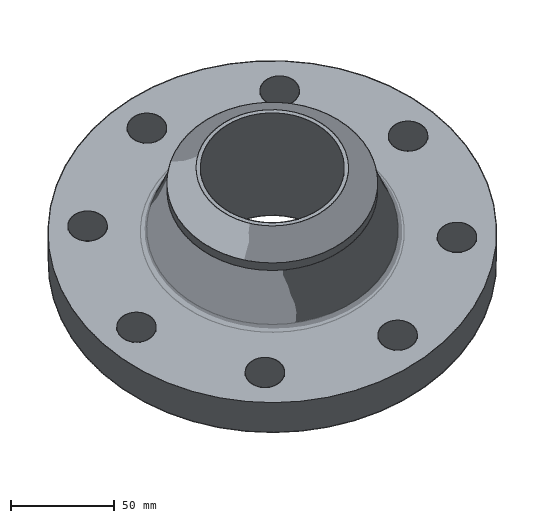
import cadquery as cq

flange_diameter = 215.8
flange_thickness = 22.2
raised_face_diameter = 154.1
raised_face_height = 6.5
total_height = 76.2

hub_base_diameter = 122.4
hub_neck_diameter = 101.5
neck_height = 5.6
hub_fillet = 3.2

bevel_height = 11.0
weld_end_diameter = 73.4
bore_diameter = 69.3

bolt_count = 8
bolt_circle_diameter = 177.9
bolt_hole_diameter = 19.0

flange_top = raised_face_height + flange_thickness
neck_top = total_height - bevel_height
neck_bottom = neck_top - neck_height


def make_flange_disc():
    """Round plate with the raised sealing face under it."""
    raised_face = cq.Workplane("XY").circle(raised_face_diameter / 2).extrude(raised_face_height)
    plate = (
        cq.Workplane("XY")
        .workplane(offset=raised_face_height)
        .circle(flange_diameter / 2)
        .extrude(flange_thickness)
    )
    return raised_face.union(plate)


def make_hub():
    """Tapered hub, short straight neck and weld bevel, revolved about Z."""
    return (
        cq.Workplane("XZ")
        .moveTo(0, flange_top)
        .lineTo(hub_base_diameter / 2, flange_top)
        .lineTo(hub_neck_diameter / 2, neck_bottom)
        .lineTo(hub_neck_diameter / 2, neck_top)
        .lineTo(weld_end_diameter / 2, total_height)
        .lineTo(0, total_height)
        .close()
        .revolve(360, (0, 0, 0), (0, 1, 0))
    )


def fillet_hub_base(body):
    """Round the inner corner where the hub meets the top of the plate."""
    reach = hub_base_diameter / 2 + hub_fillet
    sliver = 0.2
    base_edge = cq.selectors.BoxSelector(
        (-reach, -reach, flange_top - sliver),
        (reach, reach, flange_top + sliver),
        boundingbox=True,
    )
    return body.edges(base_edge).fillet(hub_fillet)


def cut_bore(body):
    """Straight bore through the full height."""
    bore = cq.Workplane("XY").circle(bore_diameter / 2).extrude(total_height)
    return body.cut(bore)


def cut_bolt_holes(body):
    """Evenly spaced through holes, the first one on +X."""
    holes = (
        cq.Workplane("XY")
        .polarArray(bolt_circle_diameter / 2, 0, 360, bolt_count)
        .circle(bolt_hole_diameter / 2)
        .extrude(flange_top)
    )
    return body.cut(holes)


body = fillet_hub_base(make_flange_disc().union(make_hub()))
result = cut_bolt_holes(cut_bore(body))